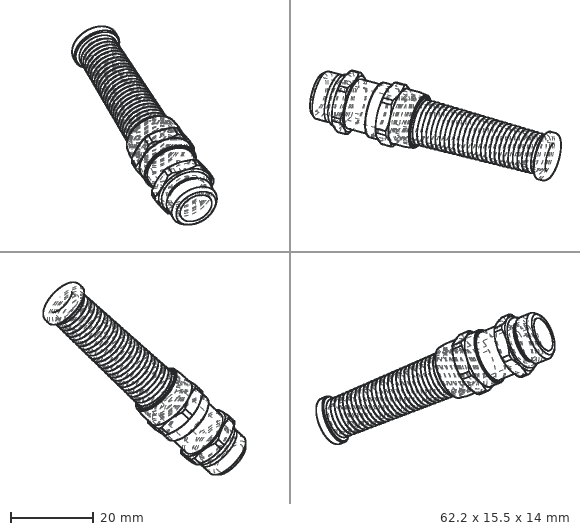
import cadquery as cq
import math


cap_length = 2.5
nut_start = 35.1
nut_taper_end = 37.25
nut_hex_start = 40.5
nut_hex_end = 43.95
nut_end = 46.9
body_hex_start = 52.6
body_hex_end = 55.6
total_length = 62.19

cap_diameter = 12.0
cap_bore = 6.7
cap_round = 1.0
cap_back_chamfer = 0.3
spigot_length = 5.0

wire_diameter = 1.2
coil_count = 31
first_coil_diameter = 10.0
coil_growth = 0.053

hex_across_flats = 14.0
hex_corner_diameter = 15.5
hex_face_diameter = 14.0
hex_chamfer_length = 0.4

nut_diameter = 13.8
nut_mouth_diameter = 13.3
nut_mouth_bore = 12.0
nut_edge_chamfer = 0.2
shoulder_thickness = 1.2

sleeve_diameter = 12.5
body_bore = 8.4
thread_diameter = 12.0
thread_cone_end = 58.0
thread_cone_length = 0.85
thread_end_length = 0.95
thread_end_diameter = 10.5

ring_section = 1.5
ring_inner_diameter = 10.0

wire_radius = wire_diameter / 2
spigot_diameter = first_coil_diameter - 2 * wire_diameter
spring_end = cap_length + coil_count * wire_diameter
body_start = spring_end + shoulder_thickness


def turn(profile):
    """Revolve a closed profile about the X axis."""
    return profile.revolve(360, (0, 0, 0), (1, 0, 0))


def cylinder(start, end, diameter):
    return cq.Workplane("YZ", origin=(start, 0, 0)).circle(diameter / 2).extrude(end - start)


def hexagon(start, end):
    """Hexagon with flats facing +Z and -Z, its corners turned round and chamfered at both ends."""
    prism = (
        cq.Workplane("YZ", origin=(start, 0, 0))
        .polygon(6, hex_across_flats / math.cos(math.pi / 6))
        .extrude(end - start)
    )
    turned_blank = turn(
        cq.Workplane("XY")
        .moveTo(start, 0)
        .lineTo(start, hex_face_diameter / 2)
        .lineTo(start + hex_chamfer_length, hex_corner_diameter / 2)
        .lineTo(end - hex_chamfer_length, hex_corner_diameter / 2)
        .lineTo(end, hex_face_diameter / 2)
        .lineTo(end, 0)
        .close()
    )
    return prism.intersect(turned_blank)


def make_end_cap():
    """Flanged ring with a rounded mouth and a spigot that reaches into the spring."""
    outer = cap_diameter / 2
    bore = cap_bore / 2
    diagonal = cap_round * (1 - math.sqrt(0.5))
    return turn(
        cq.Workplane("XY")
        .moveTo(0, bore + cap_round)
        .lineTo(0, outer - cap_round)
        .threePointArc((diagonal, outer - diagonal), (cap_round, outer))
        .lineTo(cap_length - cap_back_chamfer, outer)
        .lineTo(cap_length, outer - cap_back_chamfer)
        .lineTo(cap_length, spigot_diameter / 2)
        .lineTo(cap_length + spigot_length, spigot_diameter / 2)
        .lineTo(cap_length + spigot_length, bore)
        .lineTo(cap_round, bore)
        .threePointArc((diagonal, bore + diagonal), (0, bore + cap_round))
        .close()
    )


def make_spring():
    """Tapered spring: touching turns with round crests outside and a smooth conical bore."""
    def wire_centre_radius(turns):
        return (first_coil_diameter + turns * coil_growth) / 2 - wire_radius

    profile = (
        cq.Workplane("XY")
        .moveTo(cap_length, wire_centre_radius(0) - wire_radius)
        .lineTo(cap_length, wire_centre_radius(0))
    )
    for turn_number in range(coil_count):
        turn_start = cap_length + turn_number * wire_diameter
        crest = (turn_start + wire_radius, wire_centre_radius(turn_number + 0.5) + wire_radius)
        valley = (turn_start + wire_diameter, wire_centre_radius(turn_number + 1))
        profile = profile.threePointArc(crest, valley)
    return turn(profile.lineTo(spring_end, wire_centre_radius(coil_count) - wire_radius).close())


def make_cap_nut():
    """Nut with a tapered mouth; an inner shoulder sits between the spring and the gland body."""
    outside = turn(
        cq.Workplane("XY")
        .moveTo(nut_start, 0)
        .lineTo(nut_start, nut_mouth_diameter / 2 - nut_edge_chamfer)
        .lineTo(nut_start + nut_edge_chamfer, nut_mouth_diameter / 2)
        .lineTo(nut_taper_end, nut_diameter / 2)
        .lineTo(nut_end - nut_edge_chamfer, nut_diameter / 2)
        .lineTo(nut_end, nut_diameter / 2 - nut_edge_chamfer)
        .lineTo(nut_end, 0)
        .close()
    )
    return (
        outside.union(hexagon(nut_hex_start, nut_hex_end))
        .cut(cylinder(nut_start, spring_end, nut_mouth_bore))
        .cut(cylinder(spring_end, body_start, body_bore))
        .cut(cylinder(body_start, nut_end, sleeve_diameter))
    )


def make_gland_body():
    """Sleeve, hexagon, O-ring neck and plain threaded end with a through bore."""
    neck_radius = ring_inner_diameter / 2
    sleeve = cylinder(body_start, body_hex_end, sleeve_diameter)
    threaded_end = turn(
        cq.Workplane("XY")
        .moveTo(body_hex_start, 0)
        .lineTo(body_hex_start, neck_radius)
        .lineTo(thread_cone_end - thread_cone_length, neck_radius)
        .lineTo(thread_cone_end, thread_diameter / 2)
        .lineTo(total_length - thread_end_length, thread_diameter / 2)
        .lineTo(total_length, thread_end_diameter / 2)
        .lineTo(total_length, 0)
        .close()
    )
    return (
        sleeve.union(hexagon(body_hex_start, body_hex_end))
        .union(threaded_end)
        .cut(cylinder(body_start, total_length, body_bore))
    )


def make_o_ring():
    """Round-section ring on the neck, against the end of the body hexagon."""
    section_radius = ring_section / 2
    return turn(
        cq.Workplane("XY")
        .moveTo(body_hex_end + section_radius, ring_inner_diameter / 2 + section_radius)
        .circle(section_radius)
    )


end_cap = make_end_cap()
spring = make_spring()
cap_nut = make_cap_nut()
gland_body = make_gland_body()
o_ring = make_o_ring()

result = cq.Compound.makeCompound(
    [end_cap.val(), spring.val(), cap_nut.val(), gland_body.val(), o_ring.val()]
)